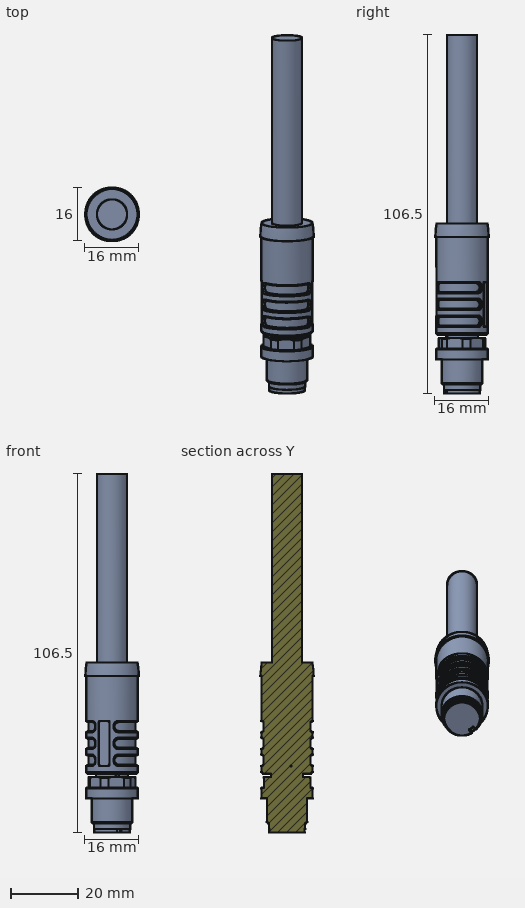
import cadquery as cq
import math

TIP_BAND_Z = 1.2
THREAD_Z = 2.8
NUT_Z = 10.2
HEX_Z = 13.4
NECK_Z = 16.6
BODY_Z = 17.5
COLLAR_Z = 46.5
BODY_TOP_Z = 50.6
TOTAL_LENGTH = 106.5

TIP_RADIUS = 5.4
TIP_BAND_RADIUS = 5.3
THREAD_RADIUS = 6.1
NUT_RADIUS = 7.7
HEX_CORNER_RADIUS = 7.0
NECK_RADIUS = 4.8
BODY_RADIUS = 7.7
COLLAR_RADIUS = 8.0
COLLAR_TOP_RADIUS = 7.6
CABLE_RADIUS = 4.5

THREAD_CHAMFER = 0.4
NUT_CHAMFER = 0.2
HEX_CHAMFER = 0.3
BODY_CHAMFER = 0.5

TIP_KEY_ANGLE = -66.0
TIP_KEY_WIDTH = 1.6
TIP_KEY_DEPTH = 1.3
NECK_KEY_ANGLE = -70.0
NECK_KEY_WIDTH = 1.0
NECK_KEY_DEPTH = 0.3

HEX_APOTHEM = 6.6
HEX_ANGLE = -79.0

PANEL_ANGLE = -108.5
SIDE_ANGLES = (PANEL_ANGLE, PANEL_ANGLE + 180)

SLOT_COUNT = 3
SLOT_PITCH = 5.0
SLOT_HEIGHT = 3.4
SLOT_DEPTH = 0.6
SLOT_DRAFT = 0.4
SLOT_GAP_ANGLE = 42.0
FIRST_SLOT_Z = 21.5

PANEL_WIDTH = 3.3
PANEL_FLOOR = 7.2
PANEL_CORNER_RADIUS = 0.5

CUT_CLEARANCE = 1.1


def cylinder(radius, bottom, top):
    return cq.Workplane("XY").workplane(offset=bottom).circle(radius).extrude(top - bottom)


def radial_plane(angle, distance=0.0, height=0.0):
    """Plane facing outward at an angle around Z, with its vertical direction along Z."""
    a = math.radians(angle)
    outward = (math.cos(a), math.sin(a), 0)
    origin = (distance * outward[0], distance * outward[1], height)
    return cq.Plane(origin=origin, xDir=(-outward[1], outward[0], 0), normal=outward)


def make_keyway(angle, floor_radius, width, bottom, top):
    """Straight-sided radial slot, open outward, for cutting from a round section."""
    return (
        cq.Workplane(radial_plane(angle, floor_radius, (bottom + top) / 2))
        .rect(width, top - bottom)
        .extrude(TIP_RADIUS)
    )


def make_plug():
    """Threaded plug with a keyway in the slightly reduced band at its tip."""
    keyway = make_keyway(TIP_KEY_ANGLE, TIP_BAND_RADIUS - TIP_KEY_DEPTH, TIP_KEY_WIDTH, 0, TIP_BAND_Z)
    band = cylinder(TIP_BAND_RADIUS, 0, TIP_BAND_Z).cut(keyway)
    tip = cylinder(TIP_RADIUS, TIP_BAND_Z, THREAD_Z).union(band)
    thread = cylinder(THREAD_RADIUS, THREAD_Z, NUT_Z).faces("<Z").chamfer(THREAD_CHAMFER)
    return tip.union(thread)


def make_nut():
    """Coupling nut: a round flange below a hexagon with turned-down corners."""
    flange = cylinder(NUT_RADIUS, NUT_Z, HEX_Z).faces(">Z").chamfer(NUT_CHAMFER)
    corner_blank = cylinder(HEX_CORNER_RADIUS, HEX_Z, NECK_Z).faces(">Z").chamfer(HEX_CHAMFER)
    hexagon = (
        cq.Workplane("XY")
        .workplane(offset=HEX_Z)
        .polygon(6, 2 * HEX_APOTHEM, circumscribed=True)
        .extrude(NECK_Z - HEX_Z)
        .rotate((0, 0, 0), (0, 0, 1), HEX_ANGLE)
        .intersect(corner_blank)
    )
    return flange.union(hexagon)


def make_neck():
    keyway = make_keyway(NECK_KEY_ANGLE, NECK_RADIUS - NECK_KEY_DEPTH, NECK_KEY_WIDTH, NECK_Z, BODY_Z)
    return cylinder(NECK_RADIUS, NECK_Z, BODY_Z).cut(keyway)


def make_body():
    """Round grip body with a collar that flares gently toward its lower edge."""
    barrel = cylinder(BODY_RADIUS, BODY_Z, COLLAR_Z).faces("<Z").chamfer(BODY_CHAMFER)
    collar_bulge_z = (COLLAR_Z + BODY_TOP_Z) / 2
    bulge_radius = COLLAR_RADIUS - (COLLAR_RADIUS - COLLAR_TOP_RADIUS) / 4
    collar = (
        cq.Workplane("XZ")
        .moveTo(0, COLLAR_Z)
        .lineTo(COLLAR_RADIUS, COLLAR_Z)
        .threePointArc((bulge_radius, collar_bulge_z), (COLLAR_TOP_RADIUS, BODY_TOP_Z))
        .lineTo(0, BODY_TOP_Z)
        .close()
        .revolve(360, (0, 0, 0), (0, 1, 0))
    )
    return barrel.union(collar)


def make_slot_cutter(panel_angle, height):
    """Grip slot with drafted walls and round ends, starting beside one panel."""
    floor_radius = BODY_RADIUS - SLOT_DEPTH
    outer_radius = BODY_RADIUS + CUT_CLEARANCE
    slope = SLOT_DRAFT / SLOT_DEPTH
    half_outer = SLOT_HEIGHT / 2 + slope * CUT_CLEARANCE
    half_inner = SLOT_HEIGHT / 2 - SLOT_DRAFT - slope * CUT_CLEARANCE
    inner_radius = floor_radius - CUT_CLEARANCE

    end_angle = math.degrees(math.asin(SLOT_HEIGHT / 2 / BODY_RADIUS))
    start = panel_angle + SLOT_GAP_ANGLE / 2 + end_angle
    sweep = 180 - SLOT_GAP_ANGLE - 2 * end_angle

    cutter = (
        cq.Workplane("XZ")
        .polyline([
            (inner_radius, height - half_inner),
            (outer_radius, height - half_outer),
            (outer_radius, height + half_outer),
            (inner_radius, height + half_inner),
        ])
        .close()
        .revolve(sweep, (0, 0, 0), (0, 1, 0))
        .rotate((0, 0, 0), (0, 0, 1), start)
    )
    for angle in (start, start + sweep):
        round_end = (
            cq.Workplane(radial_plane(angle, inner_radius, height))
            .circle(half_inner)
            .workplane(offset=outer_radius - inner_radius)
            .circle(half_outer)
            .loft(ruled=True)
        )
        cutter = cutter.union(round_end)
    return cutter.cut(cylinder(floor_radius, height - SLOT_HEIGHT, height + SLOT_HEIGHT))


def make_panel_cutter(panel_angle):
    """Flat-floored pocket as tall as the stack of grip slots."""
    panel_height = (SLOT_COUNT - 1) * SLOT_PITCH + SLOT_HEIGHT
    panel_middle = FIRST_SLOT_Z + (SLOT_COUNT - 1) * SLOT_PITCH / 2
    return (
        cq.Workplane(radial_plane(panel_angle, PANEL_FLOOR, panel_middle))
        .rect(PANEL_WIDTH, panel_height)
        .extrude(BODY_RADIUS - PANEL_FLOOR + CUT_CLEARANCE)
        .edges(cq.selectors.ParallelDirSelector(radial_plane(panel_angle).zDir))
        .fillet(PANEL_CORNER_RADIUS)
    )


body = make_body()
for side_angle in SIDE_ANGLES:
    body = body.cut(make_panel_cutter(side_angle))
    for slot in range(SLOT_COUNT):
        body = body.cut(make_slot_cutter(side_angle, FIRST_SLOT_Z + slot * SLOT_PITCH))

cable = cylinder(CABLE_RADIUS, BODY_TOP_Z, TOTAL_LENGTH)

result = make_plug().union(make_nut()).union(make_neck()).union(body).union(cable)